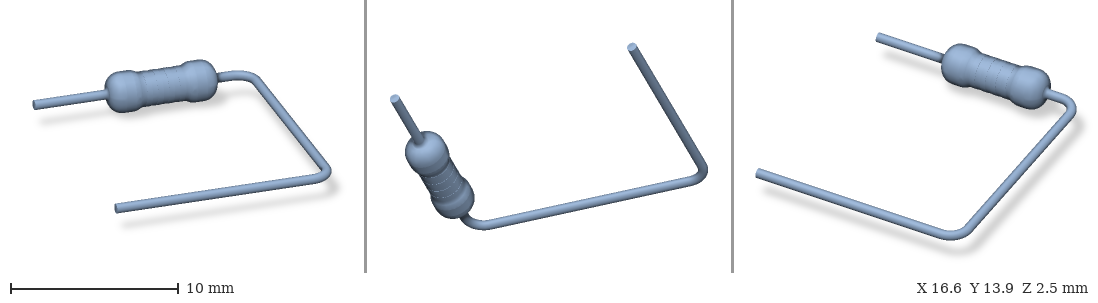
import cadquery as cq
import math

OVERALL_LENGTH = 16.55
OVERALL_DEPTH = 13.9

LEAD_DIAMETER = 0.6
BEND_RADIUS = 1.19

BODY_DIAMETER = 2.5
BODY_CENTER_Y = 8.0
CAP_INNER_EDGE = 1.92
CAP_OUTER_EDGE = 2.53
DOME_RADIUS = 0.86
FLARE_RADIUS = 0.22

WAIST_DIAMETER = 2.12
BAND_DIAMETER = 2.15
BAND_COUNT = 4
BAND_WIDTH = 0.35

lead_radius = LEAD_DIAMETER / 2
body_radius = BODY_DIAMETER / 2
waist_radius = WAIST_DIAMETER / 2
lead_pitch = OVERALL_LENGTH - body_radius - lead_radius
cross_lead_y = OVERALL_DEPTH - lead_radius
waist_half_length = (2 * BAND_COUNT - 1) * BAND_WIDTH / 2


def dome_point(radius):
    """Point on the domed cap end at the given distance from the body axis."""
    offset = radius - (body_radius - DOME_RADIUS)
    return radius, CAP_OUTER_EDGE + math.sqrt(DOME_RADIUS**2 - offset**2)


def make_half_body():
    """Upper half of the body, revolved about the Y axis."""
    flare_foot = dome_point(lead_radius + FLARE_RADIUS)
    dome_middle = dome_point(body_radius - DOME_RADIUS * (1 - math.sqrt(0.5)))
    flare_top = (lead_radius, flare_foot[1] + FLARE_RADIUS)
    flare_sag = FLARE_RADIUS * (1 - math.sqrt(0.5))
    flare_middle = (lead_radius + flare_sag, flare_foot[1] + flare_sag)
    shoulder_middle = (
        (waist_radius + body_radius) / 2,
        (waist_half_length + CAP_INNER_EDGE) / 2,
    )
    return (
        cq.Workplane("XY")
        .lineTo(waist_radius, 0)
        .lineTo(waist_radius, waist_half_length)
        .tangentArcPoint(shoulder_middle, relative=False)
        .tangentArcPoint((body_radius, CAP_INNER_EDGE), relative=False)
        .lineTo(body_radius, CAP_OUTER_EDGE)
        .threePointArc(dome_middle, flare_foot)
        .threePointArc(flare_middle, flare_top)
        .lineTo(0, flare_top[1])
        .close()
        .revolve(360, (0, 0, 0), (0, 1, 0))
    )


def make_bands():
    """Evenly spaced colour bands, with gaps as wide as the bands."""
    bands = cq.Workplane("XZ")
    for index in range(BAND_COUNT):
        start = -waist_half_length + 2 * BAND_WIDTH * index
        band = cq.Workplane("XZ", origin=(0, start, 0)).circle(BAND_DIAMETER / 2).extrude(-BAND_WIDTH)
        bands = bands.add(band)
    return bands.combine()


def make_lead():
    """Round wire: up through the body, across, and back down."""
    path = (
        cq.Workplane("XY")
        .lineTo(0, cross_lead_y - BEND_RADIUS)
        .tangentArcPoint((BEND_RADIUS, cross_lead_y), relative=False)
        .lineTo(lead_pitch - BEND_RADIUS, cross_lead_y)
        .tangentArcPoint((lead_pitch, cross_lead_y - BEND_RADIUS), relative=False)
        .lineTo(lead_pitch, 0)
    )
    return cq.Workplane("XZ").circle(lead_radius).sweep(path)


half_body = make_half_body()
body = half_body.union(half_body.mirror("XZ")).union(make_bands())
result = make_lead().union(body.translate((0, BODY_CENTER_Y, 0)))